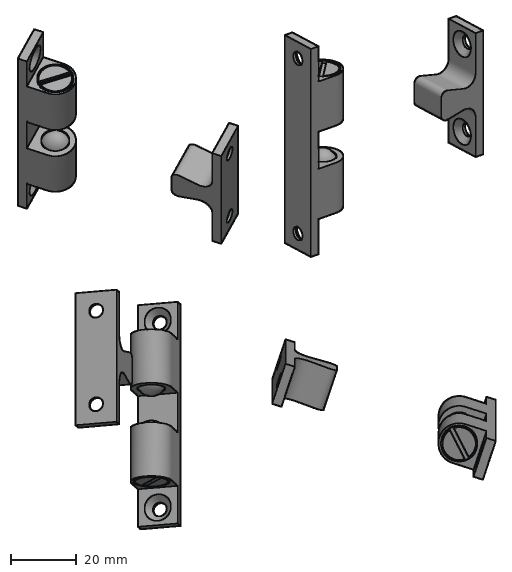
import cadquery as cq
import math

overall_length = 70.0
overall_depth = 67.2
plate_thickness = 3.0
housing_width = 12.6
striker_width = 13.0
striker_length = 41.7

hole_diameter = 4.35
countersink_diameter = 8.4
countersink_angle = 90.0
housing_hole_z = 29.5
striker_hole_z = 14.8

boss_radius = housing_width / 2
boss_axis_x = 9.65
boss_inner_z = 6.2
boss_outer_z = 23.2
boss_height = boss_outer_z - boss_inner_z

ball_radius = 4.7
ball_protrusion = 2.25
ball_center_z = boss_inner_z + ball_radius - ball_protrusion
lip_radius = 4.3
lip_top_z = ball_center_z - math.sqrt(ball_radius**2 - lip_radius**2)

screw_radius = 5.5
screw_length = 4.2
screw_chamfer = 0.5
slot_width = 1.3
slot_depth = 0.9
slot_angle = 45.0

nose_length = 13.45
nose_tip_half_height = 5.5
nose_root_half_height = 2.5
nose_tip_radius = 2.1
nose_root_radius = 3.9

selection_margin = 0.7


def mirrored_pair(upper_body):
    """The body above Z = 0 and its mirror image below."""
    return [upper_body, upper_body.mirror("XY")]


def drill_countersunk_holes(body, face, hole_z):
    """Drill two countersunk holes at +/- hole_z, sunk from the given X face."""
    return (
        body.faces(face)
        .workplane(origin=(0, 0, 0))
        .pushPoints([(0, hole_z), (0, -hole_z)])
        .cskHole(hole_diameter, countersink_diameter, countersink_angle)
    )


def upright_cylinder(radius, bottom_z, top_z):
    """Cylinder on the upper barrel's axis."""
    return cq.Workplane("XY", origin=(boss_axis_x, 0, bottom_z)).circle(radius).extrude(top_z - bottom_z)


def make_boss():
    """Upper barrel: a round front blended straight back into the plate."""
    web = cq.Workplane("XY").box(
        boss_axis_x, housing_width, boss_height, centered=(False, True, False)
    ).translate((0, 0, boss_inner_z))
    return web.union(upright_cylinder(boss_radius, boss_inner_z, boss_outer_z))


def make_bore():
    """Stepped bore of the upper barrel, narrowed at the lip."""
    mouth = upright_cylinder(lip_radius, boss_inner_z, lip_top_z)
    return mouth.union(upright_cylinder(screw_radius, lip_top_z, boss_outer_z))


def make_housing():
    """Plate with two bored barrels and two mounting holes."""
    plate = cq.Workplane("XY").box(
        plate_thickness, housing_width, overall_length, centered=(False, True, True)
    )
    body = drill_countersunk_holes(plate, ">X", housing_hole_z)
    for boss in mirrored_pair(make_boss()):
        body = body.union(boss)
    for bore in mirrored_pair(make_bore()):
        body = body.cut(bore)
    return body


def make_ball():
    """Ball of the upper barrel."""
    return cq.Workplane("XY", origin=(boss_axis_x, 0, ball_center_z)).sphere(ball_radius)


def make_screw():
    """Screw of the upper barrel, with a chamfered rim and a diagonal slot."""
    blank = upright_cylinder(screw_radius, boss_outer_z - screw_length, boss_outer_z)
    slot = (
        cq.Workplane("XY", origin=(boss_axis_x, 0, boss_outer_z))
        .transformed(rotate=(0, 0, slot_angle))
        .rect(2 * screw_radius, slot_width)
        .extrude(-slot_depth)
    )
    return blank.faces(">Z").chamfer(screw_chamfer).cut(slot)


def make_striker():
    """Plate with a flared nose pointing toward the housing."""
    plate_face_x = overall_depth - plate_thickness
    nose_tip_x = plate_face_x - nose_length
    plate = cq.Workplane("XY").box(
        plate_thickness, striker_width, striker_length, centered=(False, True, True)
    ).translate((plate_face_x, 0, 0))
    drilled_plate = drill_countersunk_holes(plate, "<X", striker_hole_z)
    nose = (
        cq.Workplane("XZ")
        .polyline([
            (nose_tip_x, nose_tip_half_height),
            (plate_face_x, nose_root_half_height),
            (plate_face_x, -nose_root_half_height),
            (nose_tip_x, -nose_tip_half_height),
        ])
        .close()
        .extrude(striker_width / 2, both=True)
        .edges("|Y and <X")
        .fillet(nose_tip_radius)
    )
    root_edges = cq.selectors.BoxSelector(
        (plate_face_x - selection_margin, -selection_margin, -nose_root_half_height - selection_margin),
        (plate_face_x + selection_margin, selection_margin, nose_root_half_height + selection_margin),
    )
    return drilled_plate.union(nose).edges("|Y").edges(root_edges).fillet(nose_root_radius)


housing = make_housing()
striker = make_striker()
balls = mirrored_pair(make_ball())
screws = mirrored_pair(make_screw())

result = cq.Compound.makeCompound([
    housing.val(),
    striker.val(),
    *[ball.val() for ball in balls],
    *[screw.val() for screw in screws],
])